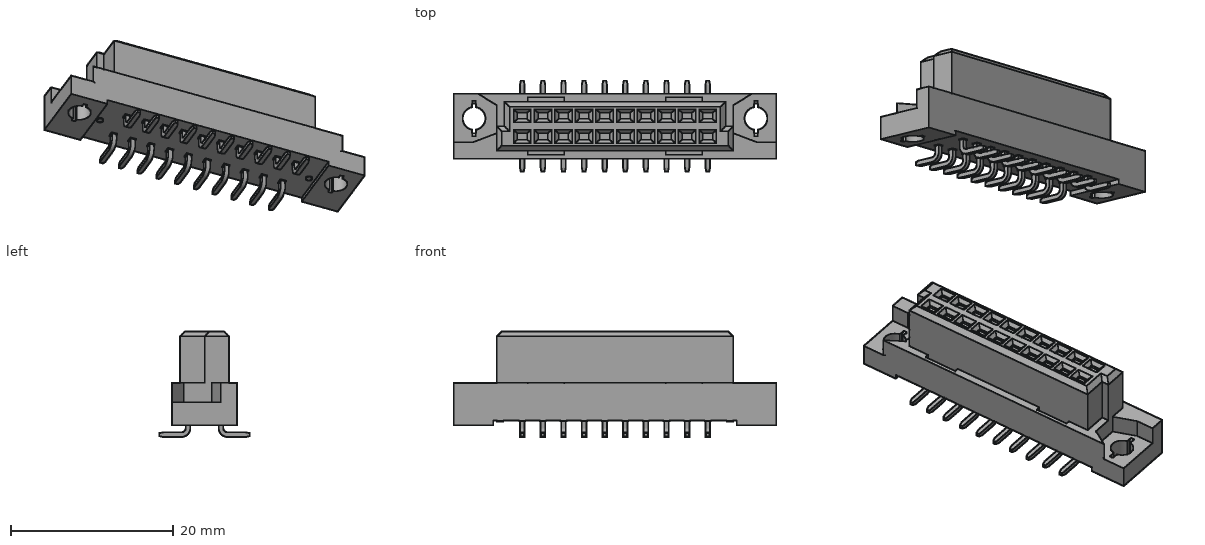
import cadquery as cq

foot_bottom = 1.45
underside = 2.03
ear_top = 4.3
base_top = 6.68
part_top = 13.05

base_length = 39.75
base_width = 8.05
foot_length = 4.9

shroud_front_length = 29.2
shroud_rear_length = 27.28
shroud_width = 6.05
shroud_chamfer = 0.65

ear_rear_x = 16.9
ear_rear_y = 2.6
ear_front_x = 17.55
ear_front_y = -2.0
ear_inner_y = -0.87

hole_x = 17.38
hole_y = 0.95
hole_diameter = 2.8
key_width = 0.48
key_length = 3.6
key_bevel = 0.4

side_slot_inner_x = 6.25
side_slot_outer_x = 10.77
side_slot_outer_y = 3.55
side_slot_depth = 0.8

contact_count = 10
contact_span = 22.85
pitch = contact_span / (contact_count - 1)
funnel_length = 2.15
funnel_width = 1.65
funnel_depth = 0.48
socket_length = 1.2
socket_width = 0.75
socket_depth = 0.8

tail_size = 0.6
tail_tip_size = 0.4
tail_tip_length = 0.5
tail_y = 2.03
tail_reach = 5.6
tail_inner_radius = 0.5
tail_embed = 0.6
collar_size = 0.75
collar_height = 0.08

pad_x = 14.15
pad_diameter = 0.8
pad_height = 0.1

contact_xs = [i * pitch - contact_span / 2 for i in range(contact_count)]


def block(x0, x1, y0, y1, z0, z1):
    """Box between two opposite corners."""
    return cq.Workplane("XY").box(x1 - x0, y1 - y0, z1 - z0, centered=False).translate((x0, y0, z0))


def mirrored_pair(shape):
    """The shape together with its mirror image on the other end of the part."""
    return shape.union(shape.mirror("YZ"))


def make_base():
    half_length = base_length / 2
    recess_x = half_length - foot_length
    half_width = base_width / 2
    base = block(-half_length, half_length, -half_width, half_width, foot_bottom, base_top)
    return base.cut(block(-recess_x, recess_x, -half_width, half_width, foot_bottom, underside))


def make_shroud():
    front_x = shroud_front_length / 2
    rear_x = shroud_rear_length / 2
    half_width = shroud_width / 2
    outline = [
        (-front_x, -half_width), (front_x, -half_width), (front_x, 0), (rear_x, 0),
        (rear_x, half_width), (-rear_x, half_width), (-rear_x, 0), (-front_x, 0),
    ]
    shroud = cq.Workplane("XY").workplane(offset=underside).polyline(outline).close()
    return shroud.extrude(part_top - underside).faces(">Z").chamfer(shroud_chamfer)


def make_pad():
    pad_plane = cq.Workplane("XY", origin=(pad_x, 0, underside - pad_height))
    return pad_plane.circle(pad_diameter / 2).extrude(pad_height)


def make_ear_cut():
    inner_x = shroud_front_length / 2
    outline = [
        (base_length / 2, base_width / 2), (ear_rear_x, base_width / 2), (inner_x, ear_rear_y),
        (inner_x, ear_inner_y), (ear_front_x, ear_front_y), (base_length / 2, ear_front_y),
    ]
    cut = cq.Workplane("XY").workplane(offset=ear_top).polyline(outline).close()
    return cut.extrude(base_top - ear_top)


def make_mounting_hole():
    height = ear_top - foot_bottom
    hole_plane = cq.Workplane("XY", origin=(hole_x, hole_y, foot_bottom))
    hole = hole_plane.circle(hole_diameter / 2).extrude(height)
    key = hole_plane.rect(key_width, key_length).extrude(height)
    bevel = (
        cq.Workplane("XY", origin=(hole_x, hole_y, ear_top - key_bevel))
        .rect(key_width, key_length)
        .workplane(offset=key_bevel)
        .rect(key_width, key_length + 2 * key_bevel)
        .loft(ruled=True)
    )
    return hole.union(key).union(bevel)


def make_side_slots():
    slots = block(
        side_slot_inner_x, side_slot_outer_x, shroud_width / 2, side_slot_outer_y,
        base_top - side_slot_depth, base_top,
    )
    slots = slots.union(slots.mirror("XZ"))
    return mirrored_pair(slots)


def make_socket():
    """Tapered lead-in with a straight rectangular socket below it."""
    funnel = (
        cq.Workplane("XY", origin=(0, 0, part_top))
        .rect(funnel_length, funnel_width)
        .workplane(offset=-funnel_depth)
        .rect(socket_length, socket_width)
        .loft(ruled=True)
    )
    well = cq.Workplane("XY", origin=(0, 0, part_top - socket_depth)).rect(socket_length, socket_width)
    return funnel.union(well.extrude(socket_depth - funnel_depth))


def make_tail():
    """Tail that leaves a thin collar under the base, bends toward the rear and ends in a tapered tip."""
    inner_y = tail_y - tail_size / 2
    outer_y = tail_y + tail_size / 2
    bend_y = outer_y + tail_inner_radius
    outer_radius = tail_size + tail_inner_radius
    straight_end = tail_reach - tail_tip_length
    tail = (
        cq.Workplane("YZ")
        .moveTo(inner_y, underside + tail_embed)
        .lineTo(inner_y, outer_radius)
        .radiusArc((bend_y, 0), -outer_radius)
        .lineTo(straight_end, 0)
        .lineTo(straight_end, tail_size)
        .lineTo(bend_y, tail_size)
        .radiusArc((outer_y, outer_radius), tail_inner_radius)
        .lineTo(outer_y, underside + tail_embed)
        .close()
        .extrude(tail_size / 2, both=True)
    )
    tip = (
        cq.Workplane("XZ", origin=(0, straight_end, tail_size / 2))
        .rect(tail_size, tail_size)
        .workplane(offset=-tail_tip_length)
        .rect(tail_tip_size, tail_tip_size)
        .loft(ruled=True)
    )
    half_collar = collar_size / 2
    collar = block(
        -half_collar, half_collar, tail_y - half_collar, tail_y + half_collar,
        underside - collar_height, underside,
    )
    return tail.union(tip).union(collar)


result = make_base().union(make_shroud()).union(mirrored_pair(make_pad()))
result = result.cut(mirrored_pair(make_ear_cut()))
result = result.cut(mirrored_pair(make_mounting_hole()))
result = result.cut(make_side_slots())

socket = make_socket()
tail = make_tail()
front_tail = tail.mirror("XZ")
for x in contact_xs:
    for row_y in (-pitch / 2, pitch / 2):
        result = result.cut(socket.translate((x, row_y, 0)))
    result = result.union(tail.translate((x, 0, 0)))
    result = result.union(front_tail.translate((x, 0, 0)))